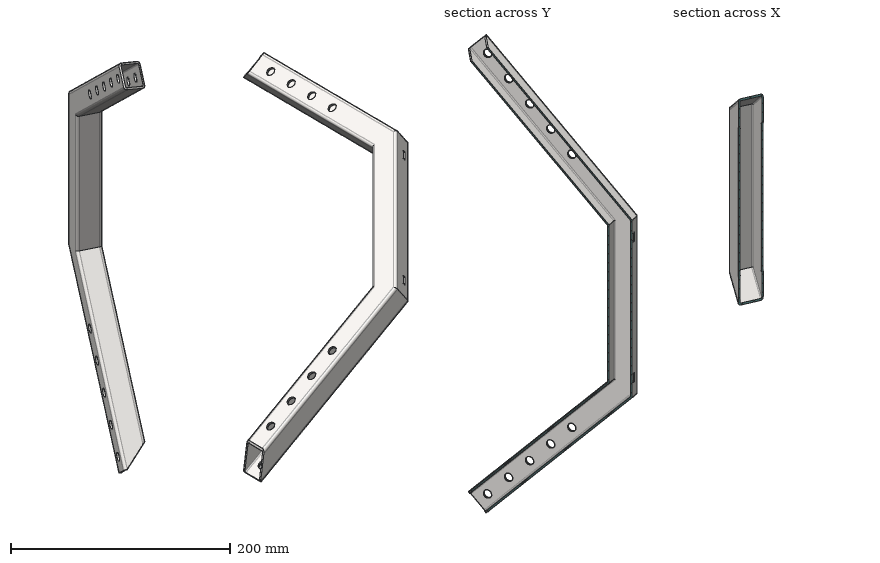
import cadquery as cq
import math

height = 483.5
width = 170.0
tube_side = 25.0
wall = 2.0
corner_radius = 3.0

lip = corner_radius

bend_angle = 45.0

hole_diameter = 8.0
hole_count = 5
hole_pitch = 30.0
hole_end_distance = 14.0

slot_width = 3.0
slot_length = 8.5
slot_height = 71.0
slot_from_front = 9.0

half_side = tube_side / 2
arm_x = math.sin(math.radians(bend_angle))
arm_z = math.cos(math.radians(bend_angle))
tip_x = width - half_side * arm_z
tip_z = height / 2 - half_side * arm_x
arm_length = (tip_x - half_side) / arm_x
bend_z = tip_z - arm_length * arm_z


def swept_square(side, radius):
    """Rounded square bar along the centre line, mitred at both bends."""
    path = cq.Workplane("XZ", origin=(0, half_side, 0)).polyline(
        [(tip_x, -tip_z), (half_side, -bend_z), (half_side, bend_z), (tip_x, tip_z)]
    )
    start = cq.Plane(
        origin=(tip_x, half_side, -tip_z), xDir=(0, 1, 0), normal=(-arm_x, 0, arm_z)
    )
    profile = cq.Sketch().rect(side, side).vertices().fillet(radius)
    return cq.Workplane(start).placeSketch(profile).sweep(path, transition="right")


def end_cutter(side):
    """Wedge that slopes an arm's end back at 45 degrees behind the front lip."""
    plane = cq.Plane(
        origin=(tip_x, 0, side * tip_z),
        xDir=(-arm_x, 0, -side * arm_z),
        normal=(side * arm_z, 0, -arm_x),
    )
    depth = tube_side - lip
    return (
        cq.Workplane(plane)
        .polyline([(0, lip), (0, tube_side), (depth, tube_side)])
        .close()
        .extrude(tube_side, both=True)
    )


def arm_holes(side):
    """Row of bolt holes through the front and back walls of one arm."""
    distances = [hole_end_distance + i * hole_pitch for i in range(hole_count)]
    centres = [(tip_x - d * arm_x, side * (tip_z - d * arm_z)) for d in distances]
    return (
        cq.Workplane("XZ")
        .pushPoints(centres)
        .circle(hole_diameter / 2)
        .extrude(-tube_side)
    )


outer = swept_square(tube_side, corner_radius)
bore = swept_square(tube_side - 2 * wall, corner_radius - wall)
result = outer.cut(bore)

for side in (1, -1):
    slot = cq.Workplane("XY").box(2 * wall, slot_width, slot_length)
    slot = slot.translate((wall / 2, slot_from_front, side * slot_height))
    result = result.cut(end_cutter(side)).cut(arm_holes(side)).cut(slot)